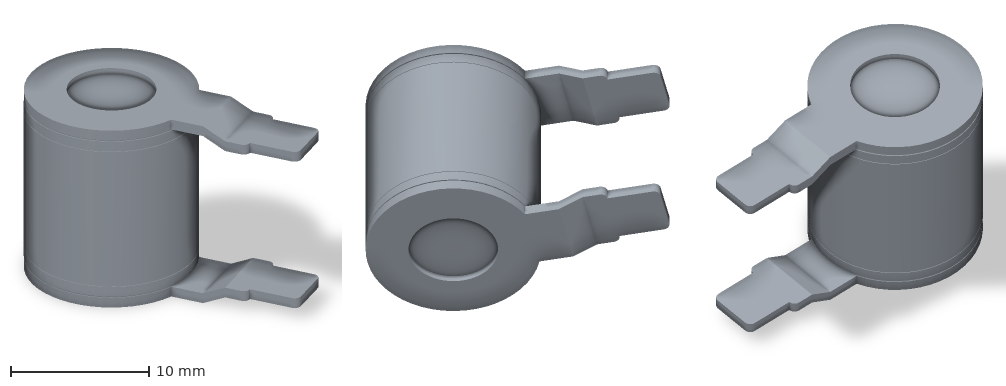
import cadquery as cq

overall_length = 22.0
diameter = 12.7
radius = diameter / 2

core_height = 11.0
core_gap = 0.05
cap_thickness = 0.8
terminal_gap = 0.1
terminal_thickness = 0.8

cap_bottom = core_height / 2 + core_gap
terminal_bottom = cap_bottom + cap_thickness + terminal_gap
terminal_top = terminal_bottom + terminal_thickness

recess_diameter = 6.5
recess_depth = 0.5

tab_width = 5.0
tip_width = 4.0
tip_end = overall_length - radius
tip_length = 3.8
shoulder_end = tip_end - tip_length
corner_radius = 0.5
bend_start = 8.35
bend_end = 10.1
bend_offset = 0.85


def make_core():
    """Cylindrical body between the two end caps."""
    return cq.Workplane("XY").workplane(offset=-core_height / 2).circle(radius).extrude(core_height)


def make_cap():
    """Upper end cap."""
    return cq.Workplane("XY").workplane(offset=cap_bottom).circle(radius).extrude(cap_thickness)


def make_tab_plan():
    """Tab outline seen along Z, tall enough to span the bent strip."""
    plan_bottom = terminal_bottom - bend_offset
    plan_height = terminal_top - plan_bottom
    base = cq.Workplane("XY").workplane(offset=plan_bottom)

    wide = base.center(shoulder_end / 2, 0).rect(shoulder_end, tab_width).extrude(plan_height)
    wide = wide.edges("|Z and >X").fillet(corner_radius)
    narrow = base.center(tip_end / 2, 0).rect(tip_end, tip_width).extrude(plan_height)
    narrow = narrow.edges("|Z and >X").fillet(corner_radius)
    return wide.union(narrow)


def make_bent_strip():
    """Side profile of the tab: flat, sloped toward the core, then flat again."""
    return (
        cq.Workplane("XZ")
        .moveTo(0, terminal_bottom)
        .lineTo(bend_start, terminal_bottom)
        .lineTo(bend_end, terminal_bottom - bend_offset)
        .lineTo(tip_end, terminal_bottom - bend_offset)
        .lineTo(tip_end, terminal_top - bend_offset)
        .lineTo(bend_end, terminal_top - bend_offset)
        .lineTo(bend_start, terminal_top)
        .lineTo(0, terminal_top)
        .close()
        .extrude(tab_width / 2, both=True)
    )


def make_terminal():
    """Upper terminal: a recessed disc with a bent, stepped tab."""
    disc = cq.Workplane("XY").workplane(offset=terminal_bottom).circle(radius).extrude(terminal_thickness)
    tab = make_bent_strip().intersect(make_tab_plan())
    recess = (
        cq.Workplane("XY")
        .workplane(offset=terminal_top - recess_depth)
        .circle(recess_diameter / 2)
        .extrude(recess_depth)
    )
    return disc.union(tab).cut(recess)


core = make_core()

end_bodies = []
for upper in (make_cap(), make_terminal()):
    for body in (upper, upper.mirror("XY")):
        end_bodies.append(body.solids().val())

result = cq.Compound.makeCompound([core.val(), *end_bodies])